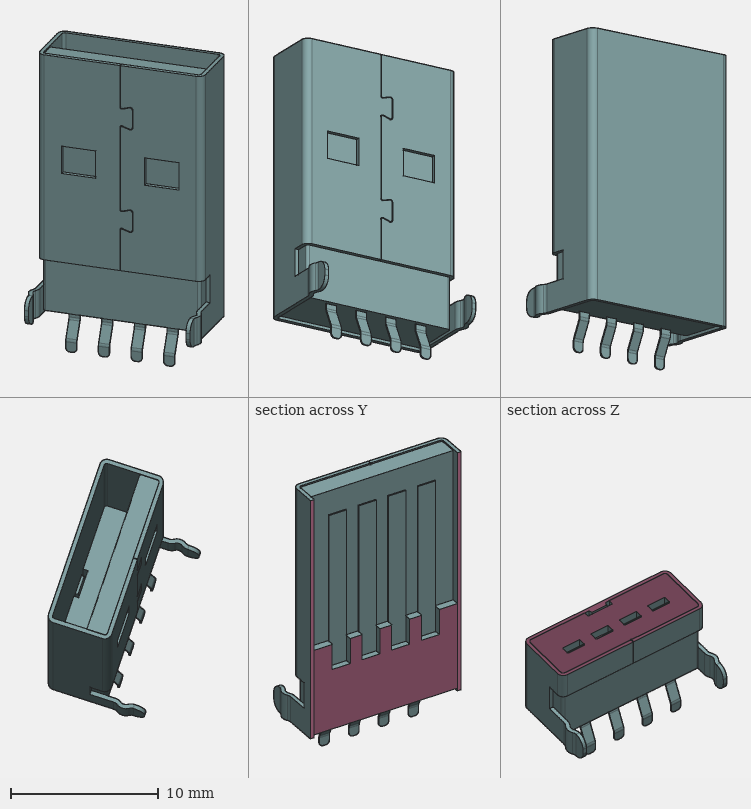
import cadquery as cq
import math


shell_width = 12.0
shell_depth = 4.52
shell_height = 19.05
wall = 0.3
corner_radius = 0.5
inner_radius = corner_radius - wall
inner_width = shell_width - 2 * wall
inner_back = shell_depth - wall

leg_height = 2.02
leg_reach = 2.5
leg_tip_radius = 0.8
leg_straight = 0.3
leg_entry_radius = 0.65
leg_bulge_radius = 0.6
leg_bulge_height = 0.22

relief_height = 2 * leg_height
relief_depth = 1.4

window_width = 2.47
window_height = 2.0
window_offset = 3.0
window_drop = 7.5

seam_gap = 0.05
dovetail_reach = 0.9
dovetail_neck = 1.12
dovetail_tip = 1.68
dovetail_drops = (3.78, 11.29)
dovetail_radius = 0.15
flap_margin = 1.08

insulator_lift = 0.22
base_top = 7.0
tongue_back = 1.72
tongue_top = shell_height - 0.1

catch_root = 1.42
catch_tip = 1.25
catch_top_depth = 0.2
catch_bottom_depth = 0.28
catch_height = 0.99
recess_width = 2.0
recess_depth = 0.35
recess_height = 2 * catch_height

contact_count = 4
contact_pitch = 2.36
contact_thickness = 0.1
pad_width = 1.4
pad_top = shell_height - 2.0
lead_width = 0.8
lead_drop = 2.45
lead_tip_radius = 0.3
lead_offset = 0.65
lead_angle = math.radians(25.5)
lead_bend_radius = 0.47
lead_straight = 0.73
jog_height = 4.0
pocket_depth = 0.58
pocket_height = 2.0

contact_places = [contact_pitch * (i - (contact_count - 1) / 2) for i in range(contact_count)]


def block(x_range, y_range, z_range):
    """Axis-aligned box given by its limits."""
    (x0, x1), (y0, y1), (z0, z1) = x_range, y_range, z_range
    return cq.Workplane("XY").box(x1 - x0, y1 - y0, z1 - z0, centered=False).translate((x0, y0, z0))


def centred_block(width, y_range, z_range, x=0):
    return block((x - width / 2, x + width / 2), y_range, z_range)


def make_cavity(bottom, top):
    """Space inside the shell between two levels."""
    return centred_block(inner_width, (wall, inner_back), (bottom, top)).edges("|Z").fillet(inner_radius)


def make_leg():
    """Leg on the +X side: a strip along -Y with one outward bulge and a rounded tip."""
    centre_x = (shell_width - wall) / 2
    radius_sum = leg_entry_radius + leg_bulge_radius
    angle = math.acos(1 - leg_bulge_height / radius_sum)
    half_angle = angle / 2

    entry_run = leg_entry_radius * math.sin(angle)
    entry_rise = leg_entry_radius * (1 - math.cos(angle))
    entry_mid_run = leg_entry_radius * math.sin(half_angle)
    entry_mid_rise = leg_entry_radius * (1 - math.cos(half_angle))
    bulge_middle = leg_straight + radius_sum * math.sin(angle)
    bulge_end = 2 * bulge_middle - leg_straight

    def point(run, rise):
        return (centre_x + rise, -run)

    path = (
        cq.Workplane("XY")
        .moveTo(*point(-relief_depth, 0))
        .lineTo(*point(leg_straight, 0))
        .threePointArc(
            point(leg_straight + entry_mid_run, entry_mid_rise),
            point(leg_straight + entry_run, entry_rise),
        )
        .threePointArc(
            point(bulge_middle, leg_bulge_height),
            point(bulge_end - entry_run, entry_rise),
        )
        .threePointArc(
            point(bulge_end - entry_mid_run, entry_mid_rise),
            point(bulge_end, 0),
        )
        .lineTo(*point(leg_reach, 0))
    )
    strip = (
        cq.Workplane("XZ", origin=(centre_x, relief_depth, leg_height / 2))
        .rect(wall, leg_height)
        .sweep(path)
    )
    return strip.faces("<Y").edges("|X").fillet(leg_tip_radius)


def make_seam():
    """Constant-width gap along the edge of the left flap of the front wall, dovetails included."""
    z_start = relief_height - flap_margin
    z_end = shell_height + flap_margin
    edge = -seam_gap / 2

    points = [(-flap_margin, z_start), (-flap_margin, z_end), (edge, z_end)]
    for drop in dovetail_drops:
        z = shell_height - drop
        points += [
            (edge, z + dovetail_neck / 2),
            (edge + dovetail_reach, z + dovetail_tip / 2),
            (edge + dovetail_reach, z - dovetail_tip / 2),
            (edge, z - dovetail_neck / 2),
        ]
    points.append((edge, z_start))

    flap = cq.Workplane("XZ").polyline(points).close().extrude(-wall)
    flap = flap.edges("|Y").fillet(dovetail_radius)
    grown = flap.faces("<Y").wires().toPending().offset2D(seam_gap).extrude(-wall)
    right_of_edge = block((edge, flap_margin), (0, wall), (relief_height, shell_height))
    return grown.intersect(right_of_edge).cut(flap)


def make_catch():
    """Catch on the inside of the back wall, standing further in at its lower end."""
    def outline(depth):
        return [
            (-catch_root / 2, inner_back),
            (-catch_tip / 2, inner_back - depth),
            (catch_tip / 2, inner_back - depth),
            (catch_root / 2, inner_back),
        ]

    bottom = base_top - recess_height + catch_height / 2
    return (
        cq.Workplane("XY", origin=(0, 0, bottom))
        .polyline(outline(catch_bottom_depth))
        .close()
        .workplane(offset=catch_height)
        .polyline(outline(catch_top_depth))
        .close()
        .loft(ruled=True)
    )


def make_shell():
    shell = centred_block(shell_width, (0, shell_depth), (0, shell_height)).edges("|Z").fillet(corner_radius)
    shell = shell.cut(make_cavity(0, shell_height))
    shell = shell.cut(centred_block(shell_width, (0, relief_depth), (0, relief_height)))
    leg = make_leg()
    shell = shell.union(leg).union(leg.mirror("YZ")).union(make_catch())
    window_z = shell_height - window_drop
    for x in (-window_offset, window_offset):
        window_levels = (window_z - window_height / 2, window_z + window_height / 2)
        shell = shell.cut(centred_block(window_width, (0, wall), window_levels, x))
    return shell.cut(make_seam())


def make_contact(x):
    """Flat pad on the tongue, stepped forward inside the base to a bent lead below it."""
    half = contact_thickness / 2
    lead_centre = lead_offset + half
    pad = centred_block(pad_width, (tongue_back, tongue_back + contact_thickness), (jog_height, pad_top), x)
    jog = centred_block(
        lead_width,
        (lead_offset, tongue_back + contact_thickness),
        (jog_height, jog_height + contact_thickness),
        x,
    )

    bend_run = lead_bend_radius * math.sin(lead_angle)
    bend_step = lead_bend_radius * (1 - math.cos(lead_angle))
    mid_run = lead_bend_radius * math.sin(lead_angle / 2)
    mid_step = lead_bend_radius * (1 - math.cos(lead_angle / 2))
    slope_run = (lead_offset - 2 * bend_step) / math.tan(lead_angle)
    lower_bend_end = -lead_drop + lead_straight
    upper_bend_start = lower_bend_end + 2 * bend_run + slope_run

    path = (
        cq.Workplane("YZ", origin=(x, 0, 0))
        .moveTo(lead_centre, jog_height)
        .lineTo(lead_centre, upper_bend_start)
        .threePointArc(
            (lead_centre - mid_step, upper_bend_start - mid_run),
            (lead_centre - bend_step, upper_bend_start - bend_run),
        )
        .lineTo(half + bend_step, lower_bend_end + bend_run)
        .threePointArc((half + mid_step, lower_bend_end + mid_run), (half, lower_bend_end))
        .lineTo(half, -lead_drop)
    )
    lead = (
        cq.Workplane("XY", origin=(x, lead_centre, jog_height))
        .rect(lead_width, contact_thickness)
        .sweep(path)
    )
    lead = lead.faces("<Z").edges("|Y").fillet(lead_tip_radius)
    return pad.union(jog).union(lead)


def make_insulator(contacts):
    """Base that fills the lower shell, with the tongue rising along the front wall."""
    insulator = make_cavity(insulator_lift, tongue_top)
    mouth = centred_block(inner_width, (tongue_back, inner_back), (base_top, tongue_top))
    recess = centred_block(
        recess_width, (inner_back - recess_depth, inner_back), (base_top - recess_height, base_top)
    )
    insulator = insulator.cut(mouth).cut(recess)
    for x, contact in zip(contact_places, contacts):
        pocket_levels = (base_top - pocket_height, base_top)
        pocket = centred_block(pad_width, (tongue_back, tongue_back + pocket_depth), pocket_levels, x)
        insulator = insulator.cut(pocket).cut(contact)
    return insulator


shell = make_shell()
contacts = [make_contact(x) for x in contact_places]
insulator = make_insulator(contacts)

contact_solids = [solid for contact in contacts for solid in contact.solids().vals()]

result = cq.Compound.makeCompound(
    [*shell.solids().vals(), *insulator.solids().vals(), *contact_solids]
)